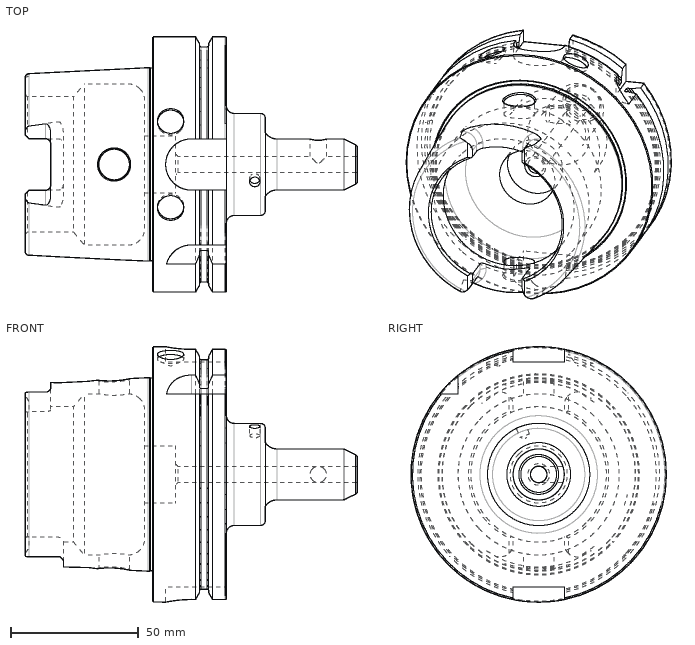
import cadquery as cq
import math

DIAGONAL = math.sqrt(0.5)
EDGE_MARGIN = 0.06

TAPER_END_X = 48.1
PILOT_X = 48.7
FLANGE_X = 49.9
FLANGE_END_X = 78.8
COLLAR_END_X = 94.0
NOSE_X = 124.7
LENGTH = 130.0

TAPER_END_R = 75.8 / 2
TAPER_SLOPE = 0.05
SHANK_END_R = TAPER_END_R - TAPER_SLOPE * TAPER_END_X
SHANK_ROUND = 1.7
PILOT_R = 75.5 / 2
PILOT_STEP_LENGTH = 0.4
RELIEF_R = 39.0
RELIEF_DEPTH = 0.4

FLANGE_R = 100.0 / 2
FLANGE_CHAMFER = 0.4
FLANGE_ROUND = 0.6
GROOVE_R = 46.0
GROOVE_LEFT_X = 68.2
GROOVE_RIGHT_X = 71.7
GROOVE_FILLET = 0.5
GROOVE_FLARE = 1.5
GROOVE_FLARE_DEPTH = GROOVE_FLARE / math.tan(math.radians(30))

COLLAR_R = 20.0
COLLAR_ROOT_FILLET = 3.0
COLLAR_ROUND = 2.0
ARBOR_R = 10.0
ARBOR_ROOT_R = 12.5
ARBOR_ROOT_FILLET = 5.5
NOSE_ROUND = 0.9
NOSE_TIP_R = 7.8
TIP_CHAMFER = 0.8

MOUTH_R = 26.5
MOUTH_CHAMFER = 0.9
MOUTH_DEPTH = 19.0
CAVITY_R = 63.0 / 2
CAVITY_FLOOR_X = 46.8
CAVITY_FILLET = 6.5
CLAMP_ANGLE = math.radians(50)
TUBE_R = 11.2
TUBE_DEPTH = 12.0
COOLANT_R = 6.4 / 2
COOLANT_CHAMFER = 1.0

KEY_HALF_WIDTH = 10.0
KEY_SHOULDER_Z = 32.2
KEY_CORNER_R = 5.1
KEY_CORNER_RUNOUT = math.radians(15)
KEY_FLOOR_FILLET = 2.0
KEY_MOUTH_CHAMFER = 1.5
UPPER_KEY_DEPTH = 10.0
LOWER_KEY_DEPTH = 15.0

CROSS_HOLE_X = 34.8
CROSS_HOLE_D = 12.0
CROSS_HOLE_CHAMFER = 0.5

RIM_CUTTER_R = 10.0
RIM_SLOT_X = 65.0
DRIVE_FLOOR_Z = 43.9
CORNER_WALL = 31.5

DRILL_TILT = 20.0
DRILL_POINT_SLOPE = math.tan(math.radians(30))
CHIP_HOLE_X = 56.9
CHIP_HOLE_R = 10.3 / 2
CHIP_HOLE_DEPTH = 2.0
SCREW_HOLE_X = 89.8
SCREW_HOLE_R = 4.0 / 2
SCREW_HOLE_DEPTH = 3.9

OUTLET_X = 114.6
OUTLET_D = 6.4


def round_edge(body, x, radius, fillet):
    """Fillet the circular edge that has the given station and radius."""

    def edges_up_to(reach):
        return cq.selectors.BoxSelector(
            (x - EDGE_MARGIN, -reach, -reach), (x + EDGE_MARGIN, reach, reach), boundingbox=True
        )

    ring = edges_up_to(radius + EDGE_MARGIN) - edges_up_to(radius - EDGE_MARGIN)
    return body.edges(ring).fillet(fillet)


def outer_body():
    """Shank, flange, collar and arbor as one turned solid."""
    flare_r = FLANGE_R - GROOVE_FLARE_DEPTH
    root_r = COLLAR_R + COLLAR_ROOT_FILLET
    root_mid = COLLAR_ROOT_FILLET * (1 - DIAGONAL)
    round_mid = COLLAR_ROUND * (1 - DIAGONAL)
    rise = ARBOR_ROOT_R - ARBOR_R
    run = math.sqrt(ARBOR_ROOT_FILLET**2 - (ARBOR_ROOT_FILLET - rise) ** 2)
    arbor_x = COLLAR_END_X + run
    half_angle = math.asin(run / ARBOR_ROOT_FILLET) / 2
    root_arc_mid = (
        arbor_x - ARBOR_ROOT_FILLET * math.sin(half_angle),
        ARBOR_R + ARBOR_ROOT_FILLET * (1 - math.cos(half_angle)),
    )
    profile = (
        cq.Workplane("XY")
        .moveTo(0, 0)
        .lineTo(0, SHANK_END_R)
        .lineTo(TAPER_END_X, TAPER_END_R)
        .lineTo(PILOT_X, TAPER_END_R)
        .lineTo(PILOT_X + PILOT_STEP_LENGTH, PILOT_R)
        .lineTo(FLANGE_X + RELIEF_DEPTH, PILOT_R)
        .lineTo(FLANGE_X + RELIEF_DEPTH, RELIEF_R)
        .lineTo(FLANGE_X, RELIEF_R + RELIEF_DEPTH)
        .lineTo(FLANGE_X, FLANGE_R - FLANGE_CHAMFER)
        .lineTo(FLANGE_X + FLANGE_CHAMFER, FLANGE_R)
        .lineTo(GROOVE_LEFT_X - GROOVE_FLARE, FLANGE_R)
        .lineTo(GROOVE_LEFT_X, flare_r)
        .lineTo(GROOVE_LEFT_X, GROOVE_R)
        .lineTo(GROOVE_RIGHT_X, GROOVE_R)
        .lineTo(GROOVE_RIGHT_X, flare_r)
        .lineTo(GROOVE_RIGHT_X + GROOVE_FLARE, FLANGE_R)
        .lineTo(FLANGE_END_X, FLANGE_R)
        .lineTo(FLANGE_END_X, root_r)
        .threePointArc(
            (FLANGE_END_X + root_mid, COLLAR_R + root_mid),
            (FLANGE_END_X + COLLAR_ROOT_FILLET, COLLAR_R),
        )
        .lineTo(COLLAR_END_X - COLLAR_ROUND, COLLAR_R)
        .threePointArc(
            (COLLAR_END_X - round_mid, COLLAR_R - round_mid),
            (COLLAR_END_X, COLLAR_R - COLLAR_ROUND),
        )
        .lineTo(COLLAR_END_X, ARBOR_ROOT_R)
        .threePointArc(root_arc_mid, (arbor_x, ARBOR_R))
        .lineTo(NOSE_X, ARBOR_R)
        .lineTo(LENGTH - TIP_CHAMFER, NOSE_TIP_R)
        .lineTo(LENGTH, NOSE_TIP_R - TIP_CHAMFER)
        .lineTo(LENGTH, 0)
        .close()
    )
    body = profile.revolve(360, (0, 0, 0), (1, 0, 0))
    body = round_edge(body, 0, SHANK_END_R, SHANK_ROUND)
    body = round_edge(body, GROOVE_LEFT_X, GROOVE_R, GROOVE_FILLET)
    body = round_edge(body, GROOVE_RIGHT_X, GROOVE_R, GROOVE_FILLET)
    body = round_edge(body, FLANGE_END_X, FLANGE_R, FLANGE_ROUND)
    return round_edge(body, NOSE_X, ARBOR_R, NOSE_ROUND)


def cavity():
    """Hollow of the shank, the tube bore behind it and the coolant bore through the arbor."""
    clamp_end_x = MOUTH_DEPTH + (CAVITY_R - MOUTH_R) / math.tan(CLAMP_ANGLE)
    fillet_mid = CAVITY_FILLET * (1 - DIAGONAL)
    tube_end_x = CAVITY_FLOOR_X + TUBE_DEPTH
    profile = (
        cq.Workplane("XY")
        .moveTo(0, 0)
        .lineTo(0, MOUTH_R + MOUTH_CHAMFER)
        .lineTo(MOUTH_CHAMFER, MOUTH_R)
        .lineTo(MOUTH_DEPTH, MOUTH_R)
        .lineTo(clamp_end_x, CAVITY_R)
        .lineTo(CAVITY_FLOOR_X - CAVITY_FILLET, CAVITY_R)
        .threePointArc(
            (CAVITY_FLOOR_X - fillet_mid, CAVITY_R - fillet_mid),
            (CAVITY_FLOOR_X, CAVITY_R - CAVITY_FILLET),
        )
        .lineTo(CAVITY_FLOOR_X, TUBE_R)
        .lineTo(tube_end_x, TUBE_R)
        .lineTo(tube_end_x, COOLANT_R + COOLANT_CHAMFER)
        .lineTo(tube_end_x + COOLANT_CHAMFER, COOLANT_R)
        .lineTo(LENGTH, COOLANT_R)
        .lineTo(LENGTH, 0)
        .close()
    )
    return profile.revolve(360, (0, 0, 0), (1, 0, 0))


def key_slot(depth):
    """Key slot on the +Z side: a straight slot that opens outwards through round corners."""
    corner_y = KEY_HALF_WIDTH + KEY_CORNER_R
    corner_z = KEY_SHOULDER_Z - KEY_CORNER_R
    runout_y = corner_y + KEY_CORNER_R * math.sin(KEY_CORNER_RUNOUT)
    runout_z = corner_z + KEY_CORNER_R * math.cos(KEY_CORNER_RUNOUT)
    arc_mid_y = corner_y - KEY_CORNER_R * DIAGONAL
    arc_mid_z = corner_z + KEY_CORNER_R * DIAGONAL
    slot = (
        cq.Workplane("YZ")
        .moveTo(-KEY_HALF_WIDTH, 0)
        .lineTo(KEY_HALF_WIDTH, 0)
        .lineTo(KEY_HALF_WIDTH, corner_z)
        .threePointArc((arc_mid_y, arc_mid_z), (runout_y, runout_z))
        .lineTo(FLANGE_R, runout_z)
        .lineTo(FLANGE_R, FLANGE_R)
        .lineTo(-FLANGE_R, FLANGE_R)
        .lineTo(-FLANGE_R, runout_z)
        .lineTo(-runout_y, runout_z)
        .threePointArc((-arc_mid_y, arc_mid_z), (-KEY_HALF_WIDTH, corner_z))
        .close()
        .extrude(depth)
        .faces(">X")
        .edges()
        .fillet(KEY_FLOOR_FILLET)
    )
    mouth = (
        cq.Workplane("XY")
        .moveTo(0, -KEY_HALF_WIDTH - KEY_MOUTH_CHAMFER)
        .lineTo(KEY_MOUTH_CHAMFER, -KEY_HALF_WIDTH)
        .lineTo(KEY_MOUTH_CHAMFER, KEY_HALF_WIDTH)
        .lineTo(0, KEY_HALF_WIDTH + KEY_MOUTH_CHAMFER)
        .close()
        .extrude(KEY_SHOULDER_Z)
    )
    return slot.union(mouth)


def with_cross_hole(body):
    """Drill through both walls of the shank and chamfer the two outer rims."""
    hole_r = CROSS_HOLE_D / 2
    hole = cq.Workplane("XY").center(CROSS_HOLE_X, 0).circle(hole_r).extrude(FLANGE_R, both=True)
    drilled = body.cut(hole)
    for side in (-1, 1):
        around_rim = cq.selectors.BoxSelector(
            (CROSS_HOLE_X - CROSS_HOLE_D, -CROSS_HOLE_D, side * CAVITY_R),
            (CROSS_HOLE_X + CROSS_HOLE_D, CROSS_HOLE_D, side * FLANGE_R),
            boundingbox=True,
        )
        drilled = drilled.edges(around_rim).chamfer(CROSS_HOLE_CHAMFER)
    return drilled


def rim_slot(centre_y, floor_z):
    """Slot from a round end out through the arbor side of the flange, open towards +Z."""
    start = (RIM_SLOT_X, centre_y, floor_z)
    slot_length = FLANGE_END_X - RIM_SLOT_X
    height = FLANGE_R - floor_z
    end = cq.Workplane("XY", start).circle(RIM_CUTTER_R).extrude(height)
    run = (
        cq.Workplane("XY")
        .box(slot_length, 2 * RIM_CUTTER_R, height, centered=(False, True, False))
        .translate(start)
    )
    return end.union(run)


def drilled_hole(x, surface_r, radius, depth, tilt):
    """Radial blind hole with a conical bottom, tilted from +Z towards -Y by the given angle."""
    bottom_r = surface_r - depth
    profile = (
        cq.Workplane("XZ", (x, 0, 0))
        .moveTo(0, bottom_r - radius * DRILL_POINT_SLOPE)
        .lineTo(radius, bottom_r)
        .lineTo(radius, surface_r + radius)
        .lineTo(0, surface_r + radius)
        .close()
    )
    hole = profile.revolve(360, (0, 0, 0), (0, 1, 0))
    return hole.rotate((0, 0, 0), (1, 0, 0), tilt)


def half_turn(shape):
    """The shape turned to the opposite side of the axis."""
    return shape.rotate((0, 0, 0), (1, 0, 0), 180)


result = with_cross_hole(outer_body().cut(cavity()))
result = result.cut(key_slot(UPPER_KEY_DEPTH))
result = result.cut(half_turn(key_slot(LOWER_KEY_DEPTH)))

drive_slot = rim_slot(0, DRIVE_FLOOR_Z)
result = result.cut(drive_slot)
result = result.cut(half_turn(drive_slot))
result = result.cut(rim_slot(-CORNER_WALL - RIM_CUTTER_R, CORNER_WALL))

for tilt in (-DRILL_TILT, DRILL_TILT):
    result = result.cut(drilled_hole(CHIP_HOLE_X, FLANGE_R, CHIP_HOLE_R, CHIP_HOLE_DEPTH, tilt))
result = result.cut(drilled_hole(SCREW_HOLE_X, COLLAR_R, SCREW_HOLE_R, SCREW_HOLE_DEPTH, DRILL_TILT))

outlet = cq.Workplane("XZ", (OUTLET_X, 0, 0)).circle(OUTLET_D / 2).extrude(-2 * ARBOR_R)
result = result.cut(outlet)